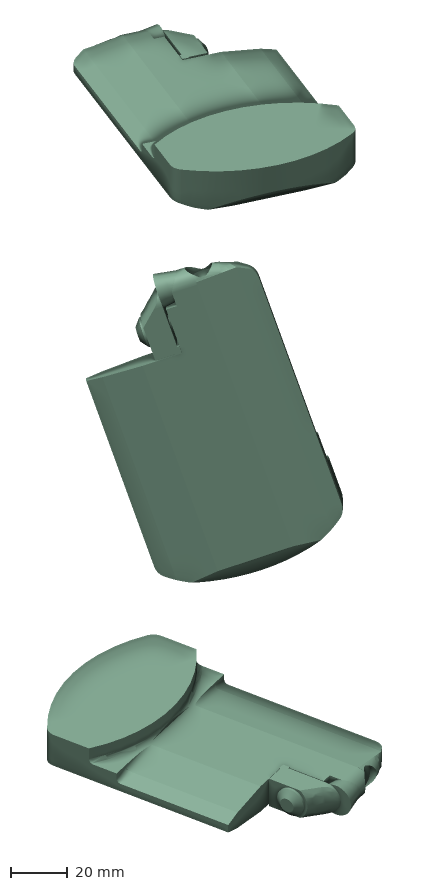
import cadquery as cq
import math

length = 116.4
width = 70.0
height = 18.2
half_width = width / 2

mid_z = 6.3
thickness = 11.0
half_thick = thickness / 2
flat_half_width = 14.0
slope_break_y = 29.0
slope_break_half_thick = 3.4
edge_half_thick = 1.6
plate_top = mid_z + half_thick

corner_radius = 5.5
disc_radius = 58.5
front_corner_x = 9.5
slant_angle = 31.0
notch_x = 29.0
notch_y = -0.7

pad_left_x = 75.7
cove_radius = 1.6
cove_middle = cove_radius * (1 - math.sqrt(0.5))
nose_chamfer_x = 109.6

round_end_x = 6.9
tapered_end_x = 5.9
end_mid_y = -23.4
end_mid_tip_x = 3.3
end_last_tip_x = 5.5
end_edge_tip_x = 5.8

barrel_radius = 6.3
barrel_taper = 0.16
barrel_face_y = 0.1
barrel_length = 11.6
barrel_wall_x = 12.0
barrel_seat_y = -4.7
pocket_radius = 4.9
pocket_y = -16.2
pocket_floor_x = 5.6

arm_thickness = 12.0
arm_half_thick = arm_thickness / 2
arm_outer_y = 9.1
arm_right_x = 28.5
arm_round_x = 10.2
arm_slant_run = 8.3
arm_bulge_x = 3.1
foot_left_x = 26.2
foot_top_y = 1.9
pin_x = 19.1
pin_diameter = 6.4
pin_depth = 5.8
button_diameter = 11.0
button_top_diameter = 5.6
button_rim = 0.9
button_height = 3.1


def box(x0, x1, y0, y1, z0, z1):
    return cq.Workplane("XY").box(x1 - x0, y1 - y0, z1 - z0, centered=False).translate((x0, y0, z0))


def inner_slope_half_thick(y):
    """Half thickness of the plate on the inner slope."""
    share = (abs(y) - flat_half_width) / (slope_break_y - flat_half_width)
    return half_thick + share * (slope_break_half_thick - half_thick)


def plate_section(x0, x1):
    """The sloped plate cross-section, extruded along X."""
    upper_side = [
        (flat_half_width, half_thick),
        (slope_break_y, slope_break_half_thick),
        (half_width, edge_half_thick),
    ]
    lower_side = [(y, -z) for y, z in reversed(upper_side)]
    opposite = [(-y, z) for y, z in reversed(upper_side + lower_side)]
    points = upper_side + lower_side + opposite
    return (
        cq.Workplane("YZ", origin=(x0, 0, mid_z))
        .polyline(points)
        .close()
        .extrude(x1 - x0)
    )


def plan_prism():
    """Plan outline: slanted -X end, straight sides and a round +X nose, with rounded corners."""
    nose_x = length - disc_radius + math.sqrt(disc_radius**2 - half_width**2)
    slant_end_x = front_corner_x - width * math.tan(math.radians(slant_angle))
    return (
        cq.Workplane("XY")
        .moveTo(front_corner_x, -half_width)
        .lineTo(nose_x, -half_width)
        .threePointArc((length, 0), (nose_x, half_width))
        .lineTo(slant_end_x, half_width)
        .close()
        .extrude(height)
        .edges("|Z and (not (<X))")
        .fillet(corner_radius)
    )


def end_section(y, root_x, tip_x, half):
    """Face in an XZ plane whose -X side is an arc."""
    return (
        cq.Workplane("XZ", origin=(0, y, mid_z))
        .moveTo(root_x, half)
        .threePointArc((tip_x, 0), (root_x, -half))
        .lineTo(barrel_wall_x, -half)
        .lineTo(barrel_wall_x, half)
        .close()
    )


def rounded_end():
    """Half-round end beside the flat band, then a tapering end along the slope."""
    straight = end_section(
        barrel_seat_y, round_end_x, round_end_x - half_thick, half_thick
    ).extrude(flat_half_width + barrel_seat_y)
    sections = [
        (-flat_half_width, round_end_x - half_thick, half_thick),
        (end_mid_y, end_mid_tip_x, inner_slope_half_thick(end_mid_y)),
        (-slope_break_y, end_last_tip_x, slope_break_half_thick),
        (-half_width, end_edge_tip_x, edge_half_thick),
    ]
    wires = [
        end_section(y, tapered_end_x, tip_x, half).wire().val()
        for y, tip_x, half in sections
    ]
    return straight.union(cq.Workplane(cq.Solid.makeLoft(wires, True)))


def shelf_cove(side, y0, half0, y1, half1):
    """Concave fillet where one slope meets the step of the shelf; side is +1 or -1 in Y."""
    run = side * (y1 - y0)
    drop = half1 - half0
    start = (pad_left_x, side * y0, mid_z + half0)
    plane = cq.Plane(origin=start, xDir=(-1, 0, 0), normal=(0, run, drop))
    up = 1 if plane.yDir.z > 0 else -1
    return (
        cq.Workplane(plane)
        .lineTo(cove_radius, 0)
        .threePointArc((cove_middle, up * cove_middle), (0, up * cove_radius))
        .close()
        .extrude(math.hypot(run, drop))
    )


def shelf():
    """Full-width flat shelf under the pad, with coves down to the slopes."""
    body = box(pad_left_x, length, -half_width, half_width, mid_z, plate_top)
    below_top = box(0, length, -half_width, half_width, 0, plate_top)
    for side in (1, -1):
        inner = shelf_cove(side, flat_half_width, half_thick, slope_break_y, slope_break_half_thick)
        outer = shelf_cove(side, slope_break_y, slope_break_half_thick, half_width, edge_half_thick)
        body = body.union(inner.intersect(below_top)).union(outer.intersect(below_top))
    return body


def pad():
    """Raised pad with a round -X side and a concave fillet at its foot."""
    centre_x = pad_left_x + disc_radius
    disc = cq.Workplane("XY", origin=(centre_x, 0, mid_z)).circle(disc_radius).extrude(height - mid_z)
    cove = (
        cq.Workplane("XZ", origin=(centre_x, 0, plate_top))
        .moveTo(disc_radius - cove_radius, 0)
        .lineTo(disc_radius + cove_radius, 0)
        .threePointArc((disc_radius + cove_middle, cove_middle), (disc_radius, cove_radius))
        .lineTo(disc_radius - cove_radius, cove_radius)
        .close()
        .revolve(360, (0, 0, 0), (0, 1, 0))
    )
    over_shelf = box(pad_left_x, length, -half_width, half_width, 0, height)
    return disc.union(cove).intersect(over_shelf)


def nose_undercut():
    """45 degree cut under the +X nose."""
    reach = length - nose_chamfer_x + corner_radius
    return (
        cq.Workplane("XZ", origin=(nose_chamfer_x, 0, mid_z - half_thick))
        .moveTo(-mid_z, -mid_z)
        .lineTo(reach, reach)
        .lineTo(reach, -mid_z)
        .close()
        .extrude(half_width, both=True)
    )


def y_cylinder(x, y0, y1, radius):
    """Cylinder along Y at mid height, from y0 to y1."""
    return cq.Workplane(
        cq.Solid.makeCylinder(radius, y1 - y0, cq.Vector(x, y0, mid_z), cq.Vector(0, 1, 0))
    )


def y_cone(x, y0, y1, radius0, radius1):
    """Cone along Y at mid height, from y0 to y1 (y1 may be below y0)."""
    direction = cq.Vector(0, math.copysign(1, y1 - y0), 0)
    start = cq.Vector(x, y0, mid_z)
    return cq.Workplane(cq.Solid.makeCone(radius0, radius1, abs(y1 - y0), start, direction))


def full_plate():
    """Plate with its rounded end, before the latch is separated from it."""
    body = plate_section(barrel_wall_x, length).union(shelf()).union(pad())
    body = body.cut(box(0, notch_x, notch_y, half_width, 0, height))
    body = body.cut(box(0, barrel_wall_x, barrel_seat_y, half_width, 0, height))
    body = body.union(rounded_end()).intersect(plan_prism())
    return body.cut(nose_undercut())


def latch_block():
    """Corner of the plate's end that belongs to the latch."""
    return box(0, barrel_wall_x, end_mid_y, barrel_seat_y, 0, height)


def barrel():
    """Tapered boss that joins the latch block to the arm."""
    tip_radius = barrel_radius - barrel_taper * barrel_length
    tip_y = barrel_face_y - barrel_length
    return y_cone(barrel_radius, barrel_face_y, tip_y, barrel_radius, tip_radius)


def pin():
    """Pin from the arm into the side of the plate."""
    return y_cylinder(pin_x, notch_y - pin_depth, arm_outer_y, pin_diameter / 2)


def make_plate():
    """Plate with room for the latch and a hole for its pin."""
    return full_plate().cut(latch_block()).cut(barrel()).cut(pin())


def arm_block():
    """Arm with a half-round end, cut off along a slanted, bulging end face."""
    tip_x = arm_round_x - arm_half_thick
    arm_width = arm_outer_y - barrel_face_y
    slot = (
        cq.Workplane("XZ", origin=(0, barrel_face_y, mid_z))
        .moveTo(arm_right_x, arm_half_thick)
        .lineTo(arm_round_x, arm_half_thick)
        .threePointArc((tip_x, 0), (arm_round_x, -arm_half_thick))
        .lineTo(arm_right_x, -arm_half_thick)
        .close()
        .extrude(-arm_width)
    )
    bulged_wire = (
        cq.Workplane("XZ", origin=(0, barrel_face_y, mid_z))
        .moveTo(tip_x + arm_bulge_x, arm_half_thick)
        .threePointArc((tip_x, 0), (tip_x + arm_bulge_x, -arm_half_thick))
        .lineTo(arm_right_x, -arm_half_thick)
        .lineTo(arm_right_x, arm_half_thick)
        .close()
        .wire()
        .val()
    )
    slant = cq.Vector(arm_slant_run, arm_width, 0)
    slanted = cq.Solid.extrudeLinear(cq.Face.makeFromWires(bulged_wire), slant)
    return slot.intersect(cq.Workplane(slanted))


def arm_foot():
    """Corner of the arm that bears on the notch of the plate."""
    return box(
        foot_left_x, notch_x, notch_y, foot_top_y, mid_z - arm_half_thick, mid_z + arm_half_thick
    )


def button():
    """Conical button on the outer side of the arm."""
    rim_y = arm_outer_y + button_rim
    top_y = arm_outer_y + button_height
    rim = y_cylinder(pin_x, arm_outer_y, rim_y, button_diameter / 2)
    crown = y_cone(pin_x, rim_y, top_y, button_diameter / 2, button_top_diameter / 2)
    return rim.union(crown)


def pocket():
    """Round pocket sunk along X into the rounded end of the latch."""
    return (
        cq.Workplane("YZ", origin=(pocket_floor_x, pocket_y, mid_z))
        .circle(pocket_radius)
        .extrude(-2 * pocket_floor_x)
    )


def make_latch():
    """Latch: end block, barrel, arm, button and pin in one piece."""
    block = full_plate().intersect(latch_block()).union(barrel()).cut(pocket())
    arm = arm_block().union(arm_foot()).union(pin()).union(button())
    return block.union(arm)


plate = make_plate()
latch = make_latch()

result = cq.Compound.makeCompound([*plate.solids().vals(), *latch.solids().vals()])